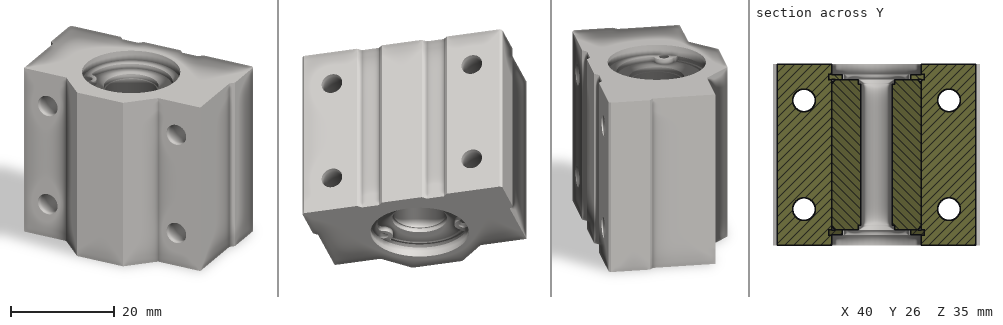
import cadquery as cq
import math

LENGTH = 35.0
HALF_WIDTH = 20.0
HALF_HEIGHT = 13.0
SIDE_STEP = 0.8
SIDE_STEP_Y = 5.0
CORNER_CHAMFER = 0.4
FLANGE_Y = -8.0
BOSS_HALF_WIDTH = 5.0
BOSS_SLOPE = HALF_HEIGHT + FLANGE_Y
RELIEF_INNER = 4.0
RELIEF_OUTER = 9.0
RELIEF_DEPTH = 0.8

BOLT_SPACING_X = 28.0
BOLT_SPACING_Z = 21.0
CLEARANCE_DIAMETER = 4.3
CORE_DIAMETER = 4.1

BEARING_DIAMETER = 19.0
BEARING_LENGTH = 29.0
BEARING_END_DIAMETER = 18.0
BEARING_CHAMFER_LENGTH = 0.7
SHAFT_DIAMETER = 10.0
END_RECESS_DIAMETER = 10.6
END_RECESS_DEPTH = 0.9

RING_DIAMETER = 20.0
RING_THICKNESS = 1.0
RING_INNER_RADIUS = 8.3
RING_INNER_OFFSET = 0.55
RING_GAP_HALF_ANGLE = 55.0
LUG_X = 8.3
LUG_Y = -2.95
LUG_RADIUS = 2.05
LUG_FILLET = 0.8
PLIER_HOLE_X = 8.05
PLIER_HOLE_Y = -2.9
PLIER_HOLE_DIAMETER = 2.0


def cylinder(diameter, height, bottom):
    return cq.Workplane("XY").workplane(offset=bottom).circle(diameter / 2).extrude(height)


def ring_bottoms():
    """Lower Z of each retaining ring, directly outside either end of the bearing."""
    return [-BEARING_LENGTH / 2 - RING_THICKNESS, BEARING_LENGTH / 2]


def housing_profile():
    lower_half_width = HALF_WIDTH - SIDE_STEP
    right_side = [
        (RELIEF_INNER, HALF_HEIGHT),
        (RELIEF_INNER + RELIEF_DEPTH, HALF_HEIGHT - RELIEF_DEPTH),
        (RELIEF_OUTER - RELIEF_DEPTH, HALF_HEIGHT - RELIEF_DEPTH),
        (RELIEF_OUTER, HALF_HEIGHT),
        (HALF_WIDTH - CORNER_CHAMFER, HALF_HEIGHT),
        (HALF_WIDTH, HALF_HEIGHT - CORNER_CHAMFER),
        (HALF_WIDTH, SIDE_STEP_Y),
        (lower_half_width, SIDE_STEP_Y - SIDE_STEP),
        (lower_half_width, FLANGE_Y),
        (BOSS_HALF_WIDTH + BOSS_SLOPE, FLANGE_Y),
        (BOSS_HALF_WIDTH, -HALF_HEIGHT),
    ]
    left_side = [(-x, y) for x, y in reversed(right_side)]
    return right_side + left_side


def bolt_holes(diameter, start_y, end_y):
    return (
        cq.Workplane("XZ", origin=(0, end_y, 0))
        .rarray(BOLT_SPACING_X, BOLT_SPACING_Z, 2, 2)
        .circle(diameter / 2)
        .extrude(end_y - start_y)
    )


def make_housing():
    body = cq.Workplane("XY").workplane(offset=-LENGTH / 2).polyline(housing_profile()).close().extrude(LENGTH)
    body = body.cut(cylinder(BEARING_DIAMETER, LENGTH, -LENGTH / 2))
    for bottom in ring_bottoms():
        body = body.cut(cylinder(RING_DIAMETER, RING_THICKNESS, bottom))
    body = body.cut(bolt_holes(CORE_DIAMETER, FLANGE_Y, HALF_HEIGHT))
    return body.cut(bolt_holes(CLEARANCE_DIAMETER, FLANGE_Y, 0))


def make_bearing():
    chamfer_width = (BEARING_DIAMETER - BEARING_END_DIAMETER) / 2
    half_length = BEARING_LENGTH / 2
    outer_radius = BEARING_DIAMETER / 2
    shoulder_z = half_length - BEARING_CHAMFER_LENGTH
    half_section = [
        (0, -half_length),
        (outer_radius - chamfer_width, -half_length),
        (outer_radius, -shoulder_z),
        (outer_radius, shoulder_z),
        (outer_radius - chamfer_width, half_length),
        (0, half_length),
    ]
    body = cq.Workplane("XZ").polyline(half_section).close().revolve(360, (0, 0, 0), (0, 1, 0))
    body = body.cut(cylinder(SHAFT_DIAMETER, BEARING_LENGTH, -half_length))
    for bottom in (-half_length, half_length - END_RECESS_DEPTH):
        body = body.cut(cylinder(END_RECESS_DIAMETER, END_RECESS_DEPTH, bottom))
    return body


def make_retaining_ring(bottom):
    """Internal ring with a gap towards -Y and a plier lug at each end."""
    plane = cq.Workplane("XY").workplane(offset=bottom)
    disc = plane.circle(RING_DIAMETER / 2).extrude(RING_THICKNESS)
    opening = plane.center(0, -RING_INNER_OFFSET).circle(RING_INNER_RADIUS).extrude(RING_THICKNESS)
    lug_places = [(-LUG_X, LUG_Y), (LUG_X, LUG_Y)]
    lugs = plane.pushPoints(lug_places).circle(LUG_RADIUS).extrude(RING_THICKNESS)

    wedge_depth = RING_DIAMETER
    wedge_half_width = wedge_depth * math.tan(math.radians(RING_GAP_HALF_ANGLE))
    wedge_points = [(0, 0), (-wedge_half_width, -wedge_depth), (wedge_half_width, -wedge_depth)]
    gap = plane.polyline(wedge_points).close().extrude(RING_THICKNESS)

    ring = disc.cut(opening.cut(lugs)).cut(gap)

    corner_zone = cq.selectors.BoxSelector(
        (-BEARING_DIAMETER / 2, LUG_Y, bottom),
        (BEARING_DIAMETER / 2, 0, bottom + RING_THICKNESS),
    )
    ring = ring.edges("|Z").edges(corner_zone).fillet(LUG_FILLET)

    hole_places = [(-PLIER_HOLE_X, PLIER_HOLE_Y), (PLIER_HOLE_X, PLIER_HOLE_Y)]
    return ring.cut(plane.pushPoints(hole_places).circle(PLIER_HOLE_DIAMETER / 2).extrude(RING_THICKNESS))


housing = make_housing()
bearing = make_bearing()
retaining_rings = [make_retaining_ring(bottom) for bottom in ring_bottoms()]

result = cq.Compound.makeCompound([
    housing.val(),
    bearing.val(),
    *[ring.val() for ring in retaining_rings],
])